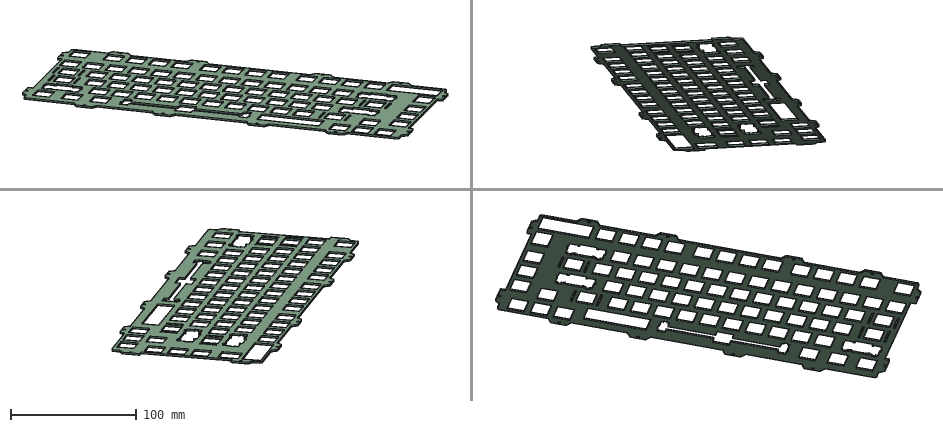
import cadquery as cq

THICKNESS = 1.5
LENGTH = 323.38
WIDTH = 132.89
BODY_LENGTH = 314.9
BODY_WIDTH = 124.0
BODY_CORNER_RADIUS = 2.0

UNIT = 19.05
SWITCH = 14.0
OPENING_CORNER_RADIUS = 0.5
LEFT_COLUMN_X = -7.75 * UNIT
RIGHT_COLUMN_X = -LEFT_COLUMN_X
FUNCTION_ROW_Y = 2.75 * UNIT
NUMBER_ROW_Y = 1.5 * UNIT
TOP_LETTER_ROW_Y = 0.5 * UNIT
HOME_ROW_Y = -0.5 * UNIT
LOW_LETTER_ROW_Y = -1.5 * UNIT
SPACE_ROW_Y = -2.5 * UNIT
ARROW_ROW_Y = -2.75 * UNIT
UP_ARROW_Y = -1.75 * UNIT

KEY_ROWS = [
    (FUNCTION_ROW_Y, [0, 1.5, 2.5, 3.5, 4.5, 5.75, 6.75, 7.75, 8.75, 10, 11, 12, 13]),
    (NUMBER_ROW_Y, list(range(13))),
    (TOP_LETTER_ROW_Y, [0.25] + [1.5 + i for i in range(12)] + [13.75, 15.5]),
    (HOME_ROW_Y, [0.375] + [1.75 + i for i in range(11)] + [15.5]),
    (LOW_LETTER_ROW_Y, [2.25 + i for i in range(10)] + [12.625, 15.5]),
    (UP_ARROW_Y, [14.25]),
    (SPACE_ROW_Y, [0.125, 1.375, 2.625]),
    (ARROW_ROW_Y, [13.25, 14.25, 15.25]),
]

SLOTTED_KEYS = [
    (TOP_LETTER_ROW_Y, 0.25),
    (TOP_LETTER_ROW_Y, 13.75),
    (HOME_ROW_Y, 0.375),
    (LOW_LETTER_ROW_Y, 12.625),
]
SLOT_WIDTH = 1.5
SLOT_OFFSET = 10.75

WIDE_KEYS = [
    (NUMBER_ROW_Y, 13.5),
    (HOME_ROW_Y, 13.375),
    (LOW_LETTER_ROW_Y, 0.625),
]
WIDE_KEY_STABILISER_OFFSET = 11.9
WIDE_KEY_LINK_TOP = 4.73
WIDE_KEY_LINK_BOTTOM = -5.97

SPACE_BAR_UNITS = 6.375
SPACE_BAR_STABILISER_OFFSET = 50.0
SPACE_BAR_LINK_HALF_HEIGHT = 2.3

HOUSING_WIDTH = 6.65
HOUSING_TOP = 5.65
HOUSING_BOTTOM = -6.77
CLIP_NOTCH_WIDTH = 3.05
CLIP_NOTCH_BOTTOM = -7.97
WIRE_NOTCH_DEPTH = 0.875
WIRE_NOTCH_TOP = 2.3
WIRE_NOTCH_BOTTOM = -0.5

BOTTOM_OPENING_UNITS = 11
BOTTOM_OPENING_LENGTH = SWITCH + 2 * UNIT
KNOB_OPENING_Y = 1.75 * UNIT
KNOB_OPENING_HEIGHT = 16.5
DISPLAY_LEFT = 112.2
DISPLAY_RIGHT = RIGHT_COLUMN_X + SWITCH / 2
DISPLAY_BOTTOM = 44.8
DISPLAY_TOP = 60.3

REAR_TAB_X = [-117.7, -52.2, 52.2, 117.7]
FRONT_TAB_X = [-105.3, -39.5, 39.5, 105.3]
SIDE_TAB_Y = 45.3
TAB_TIP_HALF = 6.5
TAB_ROOT_HALF = 9.7
SIDE_TAB_INNER_HALF = 7.9
TAB_CORNER_RADIUS = 1.0
TAB_HOLE_DIAMETER = 2.2
TAB_HOLE_INSET = 1.6
TAB_OVERLAP = 1.0


def key_x(units):
    """X of a key centre given in units from the left column."""
    return LEFT_COLUMN_X + units * UNIT


def block(x_min, x_max, y_min, y_max):
    """Full-thickness rectangular block between the given limits."""
    return (
        cq.Workplane("XY")
        .center((x_min + x_max) / 2, (y_min + y_max) / 2)
        .rect(x_max - x_min, y_max - y_min)
        .extrude(THICKNESS)
    )


def rear_tab(x):
    """Tapered tab on the rear edge, centred at x."""
    root_y = BODY_WIDTH / 2
    tip_y = WIDTH / 2
    inner_y = root_y - TAB_OVERLAP
    outline = [
        (x - TAB_ROOT_HALF, inner_y),
        (x - TAB_ROOT_HALF, root_y),
        (x - TAB_TIP_HALF, tip_y),
        (x + TAB_TIP_HALF, tip_y),
        (x + TAB_ROOT_HALF, root_y),
        (x + TAB_ROOT_HALF, inner_y),
    ]
    tab = cq.Workplane("XY").polyline(outline).close().extrude(THICKNESS)
    return tab.edges("|Z and >Y").fillet(TAB_CORNER_RADIUS)


def right_rear_tab():
    """Tab on the right edge: tapered at its rear end, square at the other."""
    root_x = BODY_LENGTH / 2
    tip_x = LENGTH / 2
    inner_x = root_x - TAB_OVERLAP
    outline = [
        (inner_x, SIDE_TAB_Y + TAB_ROOT_HALF),
        (root_x, SIDE_TAB_Y + TAB_ROOT_HALF),
        (tip_x, SIDE_TAB_Y + TAB_TIP_HALF),
        (tip_x, SIDE_TAB_Y - SIDE_TAB_INNER_HALF),
        (inner_x, SIDE_TAB_Y - SIDE_TAB_INNER_HALF),
    ]
    tab = cq.Workplane("XY").polyline(outline).close().extrude(THICKNESS)
    return tab.edges("|Z and >X").fillet(TAB_CORNER_RADIUS)


def tab_hole_centres():
    """Centres of the mounting holes of all tabs."""
    hole_x = LENGTH / 2 - TAB_HOLE_INSET
    hole_y = WIDTH / 2 - TAB_HOLE_INSET
    rear = [(x, hole_y) for x in REAR_TAB_X]
    front = [(x, -hole_y) for x in FRONT_TAB_X]
    sides = [(sx * hole_x, sy * SIDE_TAB_Y) for sx in (-1, 1) for sy in (-1, 1)]
    return rear + front + sides


def plate_blank():
    """Plate body with its tabs and mounting holes."""
    blank = cq.Workplane("XY").rect(BODY_LENGTH, BODY_WIDTH).extrude(THICKNESS)
    blank = blank.edges("|Z").fillet(BODY_CORNER_RADIUS)
    for x in REAR_TAB_X:
        blank = blank.union(rear_tab(x))
    for x in FRONT_TAB_X:
        blank = blank.union(rear_tab(x).mirror("XZ"))
    right_tabs = right_rear_tab().union(right_rear_tab().mirror("XZ"))
    blank = blank.union(right_tabs).union(right_tabs.mirror("YZ"))
    holes = (
        cq.Workplane("XY")
        .pushPoints(tab_hole_centres())
        .circle(TAB_HOLE_DIAMETER / 2)
        .extrude(THICKNESS)
    )
    return blank.cut(holes)


def rounded_openings(centres, length, height):
    """Rectangular openings with rounded corners at the given centres."""
    openings = cq.Workplane("XY").pushPoints(centres).rect(length, height).extrude(THICKNESS)
    return openings.edges("|Z").fillet(OPENING_CORNER_RADIUS)


def switch_openings():
    """Square openings of the ordinary keys."""
    centres = [(key_x(units), y) for y, row in KEY_ROWS for units in row]
    return rounded_openings(centres, SWITCH, SWITCH)


def side_slots():
    """Narrow slots on either side of the slotted keys."""
    centres = [
        (key_x(units) + side * SLOT_OFFSET, y)
        for y, units in SLOTTED_KEYS
        for side in (-1, 1)
    ]
    return rounded_openings(centres, SLOT_WIDTH, SWITCH)


def right_housing(offset):
    """Opening of the stabiliser housing to the right of a key centred on the origin."""
    inner_x = offset - HOUSING_WIDTH / 2
    outer_x = offset + HOUSING_WIDTH / 2
    clip_half = CLIP_NOTCH_WIDTH / 2
    housing = block(inner_x, outer_x, HOUSING_BOTTOM, HOUSING_TOP)
    clip_notch = block(offset - clip_half, offset + clip_half, CLIP_NOTCH_BOTTOM, HOUSING_TOP)
    wire_notch = block(offset, outer_x + WIRE_NOTCH_DEPTH, WIRE_NOTCH_BOTTOM, WIRE_NOTCH_TOP)
    return housing.union(clip_notch).union(wire_notch)


def stabilised_opening(offset, link_bottom, link_top):
    """Switch opening linked to a stabiliser housing on each side, centred on the origin."""
    switch = rounded_openings([(0, 0)], SWITCH, SWITCH)
    link = block(-offset, offset, link_bottom, link_top)
    housing = right_housing(offset)
    return switch.union(link).union(housing).union(housing.mirror("YZ"))


def wide_key_openings():
    """Openings of the wide keys."""
    opening = stabilised_opening(WIDE_KEY_STABILISER_OFFSET, WIDE_KEY_LINK_BOTTOM, WIDE_KEY_LINK_TOP)
    openings = cq.Workplane("XY")
    for y, units in WIDE_KEYS:
        openings = openings.add(opening.translate((key_x(units), y, 0)))
    return openings.combine()


def space_bar_opening():
    """Space bar opening, turned so that its clip notches point to the rear."""
    half = SPACE_BAR_LINK_HALF_HEIGHT
    opening = stabilised_opening(SPACE_BAR_STABILISER_OFFSET, -half, half)
    return opening.mirror("XZ").translate((key_x(SPACE_BAR_UNITS), SPACE_ROW_Y, 0))


def long_bottom_opening():
    """Rectangle spanning three key places to the right of the space bar."""
    centre = (key_x(BOTTOM_OPENING_UNITS), SPACE_ROW_Y)
    return rounded_openings([centre], BOTTOM_OPENING_LENGTH, SWITCH)


def knob_opening():
    """Taller opening at the top of the right column."""
    return rounded_openings([(RIGHT_COLUMN_X, KNOB_OPENING_Y)], SWITCH, KNOB_OPENING_HEIGHT)


def display_opening():
    """Wide opening in the rear right corner."""
    centre = ((DISPLAY_LEFT + DISPLAY_RIGHT) / 2, (DISPLAY_BOTTOM + DISPLAY_TOP) / 2)
    return rounded_openings([centre], DISPLAY_RIGHT - DISPLAY_LEFT, DISPLAY_TOP - DISPLAY_BOTTOM)


result = (
    plate_blank()
    .cut(switch_openings())
    .cut(side_slots())
    .cut(wide_key_openings())
    .cut(space_bar_opening())
    .cut(long_bottom_opening())
    .cut(knob_opening())
    .cut(display_opening())
)